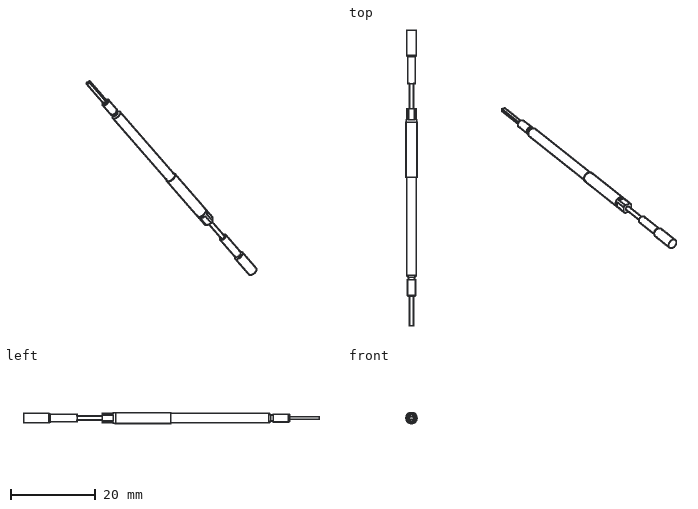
import cadquery as cq

TOTAL_LENGTH = 69.7

HEAD_END = 5.9
HEAD_CONE_END = 6.3
SHANK_END = 12.6
SQUARE_START = 18.5
SQUARE_END = 21.1
SHOULDER_END = 21.7
COLLAR_END = 34.7
BARREL_END = 57.8
BARREL_CONE_END = 58.2
NECK_END = 58.8
PLUG_END = 62.4
PLUG_CONE_END = 62.7

HEAD_DIAMETER = 2.3
SHANK_DIAMETER = 1.8
PLUNGER_DIAMETER = 1.0
SHOULDER_DIAMETER = 2.57
COLLAR_DIAMETER = 2.6
BARREL_DIAMETER = 2.3
NECK_DIAMETER = 1.5
PLUG_DIAMETER = 1.9
PLUG_TIP_DIAMETER = 1.5
TAIL_DIAMETER = 1.04

SQUARE_ACROSS_FLATS = 2.2
TAIL_THICKNESS = 0.66

SECTIONS = [
    (0, HEAD_END, HEAD_DIAMETER, HEAD_DIAMETER),
    (HEAD_END, HEAD_CONE_END, HEAD_DIAMETER, SHANK_DIAMETER),
    (HEAD_CONE_END, SHANK_END, SHANK_DIAMETER, SHANK_DIAMETER),
    (SHANK_END, SQUARE_START, PLUNGER_DIAMETER, PLUNGER_DIAMETER),
    (SQUARE_START, SHOULDER_END, SHOULDER_DIAMETER, SHOULDER_DIAMETER),
    (SHOULDER_END, COLLAR_END, COLLAR_DIAMETER, COLLAR_DIAMETER),
    (COLLAR_END, BARREL_END, BARREL_DIAMETER, BARREL_DIAMETER),
    (BARREL_END, BARREL_CONE_END, BARREL_DIAMETER, NECK_DIAMETER),
    (BARREL_CONE_END, NECK_END, NECK_DIAMETER, NECK_DIAMETER),
    (NECK_END, PLUG_END, PLUG_DIAMETER, PLUG_DIAMETER),
    (PLUG_END, PLUG_CONE_END, PLUG_DIAMETER, PLUG_TIP_DIAMETER),
    (PLUG_CONE_END, TOTAL_LENGTH, TAIL_DIAMETER, TAIL_DIAMETER),
]


def y_at(distance):
    """Y position at a distance from the +Y end."""
    return TOTAL_LENGTH / 2 - distance


def turned_body():
    """Solid of revolution through all sections."""
    profile = cq.Workplane("XY").moveTo(0, y_at(0))
    position = (0, y_at(0))
    for start, end, start_diameter, end_diameter in SECTIONS:
        for distance, diameter in ((start, start_diameter), (end, end_diameter)):
            point = (diameter / 2, y_at(distance))
            if point != position:
                profile = profile.lineTo(*point)
                position = point
    profile = profile.lineTo(0, y_at(TOTAL_LENGTH)).close()
    return profile.revolve(360, (0, 0, 0), (0, 1, 0))


def outside_bar(start, end, width, height):
    """Material between two distances lying outside a centred width x height bar."""
    length = end - start
    middle = y_at((start + end) / 2)
    blank = cq.Workplane("XY").box(2 * COLLAR_DIAMETER, length, 2 * COLLAR_DIAMETER)
    bar = cq.Workplane("XY").box(width, length, height)
    return blank.cut(bar).translate((0, middle, 0))


def wrench_square():
    """Four flats on the shoulder, stopping just short of the collar."""
    return outside_bar(SQUARE_START, SQUARE_END, SQUARE_ACROSS_FLATS, SQUARE_ACROSS_FLATS)


def tail_flats():
    """Two flats, above and below, along the tail."""
    return outside_bar(PLUG_CONE_END, TOTAL_LENGTH, TAIL_DIAMETER, TAIL_THICKNESS)


result = turned_body().cut(wrench_square()).cut(tail_flats())